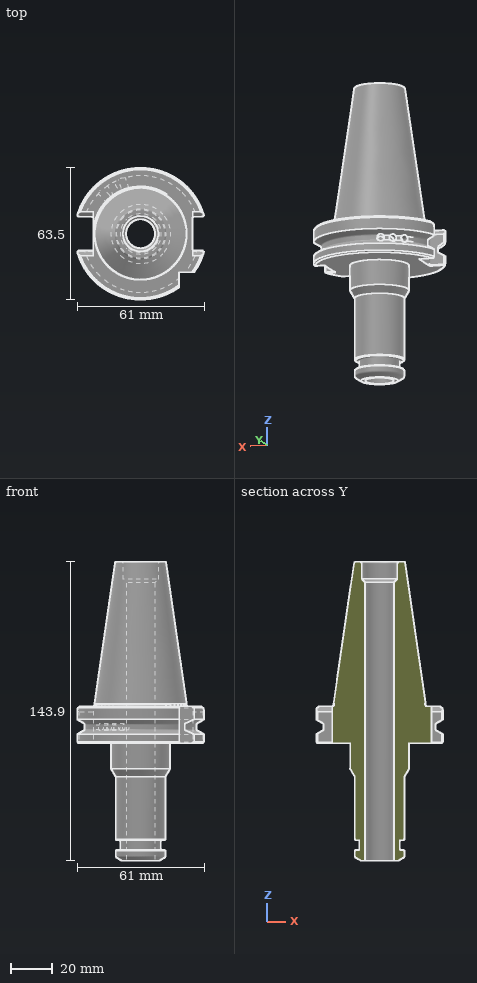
import cadquery as cq
import math

height = 143.9

taper_length = 68.4
taper_ratio = 7 / 24
gauge_diameter = 44.5
taper_top_round = 0.9
neck_diameter = 43.9
neck_fillet = 0.9

flange_diameter = 63.5
flange_bottom = 56.5
flange_top = 74.4
flange_chamfer = 0.9

groove_diameter = 56.3
groove_center = 64.5
groove_floor_width = 3.0
groove_flank_angle = 30.0
groove_fillet = 0.7

slot_width = 16.1
slot_floor_left = 22.7
slot_floor_right = 25.0
slot_top_chamfer = 2.6
slot_bottom_chamfer = 0.5
slot_rim_chamfer = 0.7
slot_corner_fillet = 0.6

notch_offset = 18.5

hole_diameter = 3.5
hole_depth = 5.8
hole_count = 3
hole_pitch_angle = 12.0
hole_middle_angle = 121.0

shoulder_diameter = 28.5
shoulder_bottom = 44.3
shoulder_cone_angle = 30.0
nose_diameter = 24.0

ring_groove_diameter = 19.5
ring_groove_top = 10.0
ring_groove_bottom = 5.3
ring_groove_edge = 0.5
ring_groove_fillet = 0.5
end_chamfer_height = 1.9
end_chamfer_round = 1.2
end_face_diameter = 17.8

counterbore_diameter = 17.0
counterbore_depth = 8.3
counterbore_round = 1.0
bore_diameter = 13.8

tolerance = 0.001


def round_rim(body, radius, z, fillet_radius):
    """Fillet the circular edge that has the given radius and height."""

    def is_rim(edge):
        on_radius = edge.geomType() == "CIRCLE" and abs(edge.radius() - radius) < tolerance
        return on_radius and abs(edge.Center().z - z) < tolerance

    rims = [edge for edge in body.edges().vals() if is_rim(edge)]
    return body.newObject(rims).fillet(fillet_radius)


def make_body():
    """Revolve the outer profile: nose, shoulder, flange, neck and taper."""
    nose_radius = nose_diameter / 2
    shoulder_radius = shoulder_diameter / 2
    flange_radius = flange_diameter / 2
    groove_radius = groove_diameter / 2
    gauge_z = height - taper_length
    gauge_radius = gauge_diameter / 2
    taper_top_radius = gauge_radius - taper_length * taper_ratio / 2

    cone_rise = (shoulder_radius - nose_radius) / math.tan(math.radians(shoulder_cone_angle))
    flank_rise = (flange_radius - groove_radius) * math.tan(math.radians(groove_flank_angle))
    half_floor = groove_floor_width / 2
    half_mouth = half_floor + flank_rise

    profile = [
        (0, 0),
        (end_face_diameter / 2, 0),
        (nose_radius, end_chamfer_height),
        (nose_radius, ring_groove_bottom - ring_groove_edge),
        (nose_radius - ring_groove_edge, ring_groove_bottom),
        (ring_groove_diameter / 2, ring_groove_bottom),
        (ring_groove_diameter / 2, ring_groove_top),
        (nose_radius - ring_groove_edge, ring_groove_top),
        (nose_radius, ring_groove_top + ring_groove_edge),
        (nose_radius, shoulder_bottom - cone_rise),
        (shoulder_radius, shoulder_bottom),
        (shoulder_radius, flange_bottom),
        (flange_radius - flange_chamfer, flange_bottom),
        (flange_radius, flange_bottom + flange_chamfer),
        (flange_radius, groove_center - half_mouth),
        (groove_radius, groove_center - half_floor),
        (groove_radius, groove_center + half_floor),
        (flange_radius, groove_center + half_mouth),
        (flange_radius, flange_top - flange_chamfer),
        (flange_radius - flange_chamfer, flange_top),
        (neck_diameter / 2, flange_top),
        (neck_diameter / 2, gauge_z),
        (gauge_radius, gauge_z),
        (taper_top_radius, height),
        (0, height),
    ]
    body = cq.Workplane("XZ").polyline(profile).close().revolve(360, (0, 0), (0, 1))

    body = round_rim(body, nose_radius, end_chamfer_height, end_chamfer_round)
    for z in (ring_groove_bottom, ring_groove_top):
        body = round_rim(body, ring_groove_diameter / 2, z, ring_groove_fillet)
    for z in (groove_center - half_floor, groove_center + half_floor):
        body = round_rim(body, groove_radius, z, groove_fillet)
    body = round_rim(body, neck_diameter / 2, flange_top, neck_fillet)
    return round_rim(body, taper_top_radius, height, taper_top_round)


def make_bore():
    """Through bore with a counterbore that ends in a 45 degree cone."""
    bore_radius = bore_diameter / 2
    counterbore_radius = counterbore_diameter / 2
    seat_z = height - counterbore_depth
    profile = [
        (0, 0),
        (bore_radius, 0),
        (bore_radius, seat_z - (counterbore_radius - bore_radius)),
        (counterbore_radius, seat_z),
        (counterbore_radius, height),
        (0, height),
    ]
    return cq.Workplane("XZ").polyline(profile).close().revolve(360, (0, 0), (0, 1))


def make_drive_slot(side, floor):
    """Slot cutter on one side (-1 or +1 along X), with a filleted floor and chamfered edges."""
    half_width = slot_width / 2
    top_half_width = half_width + slot_top_chamfer
    bottom_half_width = half_width + slot_bottom_chamfer
    outer = flange_diameter / 2
    rim_x = math.sqrt(outer**2 - (half_width + slot_rim_chamfer) ** 2)
    chamfer_x = rim_x - slot_rim_chamfer
    flare = half_width + outer - chamfer_x

    section = [
        (-bottom_half_width, flange_bottom),
        (bottom_half_width, flange_bottom),
        (half_width, flange_bottom + slot_bottom_chamfer),
        (half_width, flange_top - slot_top_chamfer),
        (top_half_width, flange_top),
        (-top_half_width, flange_top),
        (-half_width, flange_top - slot_top_chamfer),
        (-half_width, flange_bottom + slot_bottom_chamfer),
    ]
    channel = cq.Workplane("YZ", origin=(side * floor, 0, 0)).polyline(section).close()
    channel = channel.extrude(side * (outer - floor))
    floor_face = channel.faces("<X" if side > 0 else ">X")
    channel = floor_face.edges("|Z").fillet(slot_corner_fillet)

    rim_outline = [
        (side * chamfer_x, -half_width),
        (side * outer, -flare),
        (side * outer, flare),
        (side * chamfer_x, half_width),
    ]
    rim = cq.Workplane("XY", origin=(0, 0, flange_bottom)).polyline(rim_outline).close()
    return channel.union(rim.extrude(flange_top - flange_bottom))


def make_notch():
    """Square corner cutter through the full flange height."""
    size = flange_diameter / 2
    corner = cq.Workplane("XY", origin=(notch_offset, -notch_offset, flange_bottom))
    return corner.rect(size, -size, centered=False).extrude(flange_top - flange_bottom)


def make_radial_hole(angle):
    """Blind hole cutter pointing at the axis from the groove floor."""
    direction = cq.Vector(math.cos(math.radians(angle)), math.sin(math.radians(angle)), 0)
    start = direction * (groove_diameter / 2 - hole_depth) + cq.Vector(0, 0, groove_center)
    reach = flange_diameter / 2 - groove_diameter / 2 + hole_depth
    return cq.Workplane(cq.Solid.makeCylinder(hole_diameter / 2, reach, start, direction))


result = make_body().cut(make_bore())
result = round_rim(result, counterbore_diameter / 2, height, counterbore_round)
result = result.cut(make_drive_slot(-1, slot_floor_left))
result = result.cut(make_drive_slot(1, slot_floor_right))
result = result.cut(make_notch())
for index in range(hole_count):
    offset = (index - (hole_count - 1) / 2) * hole_pitch_angle
    result = result.cut(make_radial_hole(hole_middle_angle + offset))